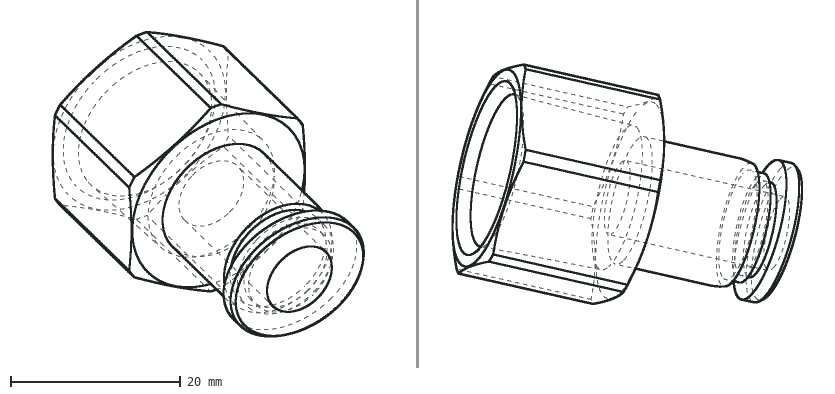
import cadquery as cq
import math

across_flats = 24.0
corner_diameter = 26.9
nut_length = 17.98
nut_face_radius = 11.9
nut_chamfer_length = 0.55

body_radius = 7.7
body_round_start = 30.05
body_end = 31.52
body_end_radius = 7.45
ring_end = 33.25
ring_radius = 6.62
neck_end = 34.3
neck_radius = 5.75

total_length = 36.4
collar_width_y = 18.42
collar_height_z = 15.98
collar_chamfer_length = 0.5
collar_chamfer_depth = 0.4

socket_mouth_radius = 10.52
socket_start_radius = 9.2
socket_end_radius = 8.75
socket_chamfer_length = socket_mouth_radius - socket_start_radius
socket_depth = 16.38
bore_radius = 4.48


def revolve_about_x(outline):
    """Revolve a closed (x, radius) outline a full turn about the X axis."""
    return outline.close().revolve(360, (0, 0, 0), (1, 0, 0))


def make_nut():
    """Hexagon with flats facing +Y and -Y, its corners turned round and chamfered at both ends."""
    corner_radius = corner_diameter / 2
    hexagon = (
        cq.Workplane("YZ")
        .polygon(6, across_flats / math.cos(math.pi / 6))
        .extrude(nut_length)
        .rotate((0, 0, 0), (1, 0, 0), 90)
    )
    turned_envelope = revolve_about_x(
        cq.Workplane("XY")
        .lineTo(0, nut_face_radius)
        .lineTo(nut_chamfer_length, corner_radius)
        .lineTo(nut_length - nut_chamfer_length, corner_radius)
        .lineTo(nut_length, nut_face_radius)
        .lineTo(nut_length, 0)
    )
    return hexagon.intersect(turned_envelope)


def make_body():
    """Stepped round body with a rounded shoulder, running from inside the nut to the collar."""
    start = nut_length / 2
    return revolve_about_x(
        cq.Workplane("XY")
        .moveTo(start, 0)
        .lineTo(start, body_radius)
        .lineTo(body_round_start, body_radius)
        .tangentArcPoint((body_end, body_end_radius), relative=False)
        .lineTo(body_end, ring_radius)
        .lineTo(ring_end, ring_radius)
        .lineTo(ring_end, neck_radius)
        .lineTo(neck_end, neck_radius)
        .lineTo(neck_end, 0)
    )


def make_collar():
    """Elliptical flange with a chamfered outer edge on its free end."""
    return (
        cq.Workplane("YZ", origin=(neck_end, 0, 0))
        .ellipse(collar_width_y / 2, collar_height_z / 2)
        .extrude(total_length - neck_end)
        .faces(">X")
        .edges()
        .chamfer(collar_chamfer_length, collar_chamfer_depth)
    )


def make_cavity():
    """Chamfered, tapered socket followed by a plain bore through the whole part."""
    return revolve_about_x(
        cq.Workplane("XY")
        .lineTo(0, socket_mouth_radius)
        .lineTo(socket_chamfer_length, socket_start_radius)
        .lineTo(socket_depth, socket_end_radius)
        .lineTo(socket_depth, bore_radius)
        .lineTo(total_length, bore_radius)
        .lineTo(total_length, 0)
    )


result = make_nut().union(make_body()).union(make_collar()).cut(make_cavity())